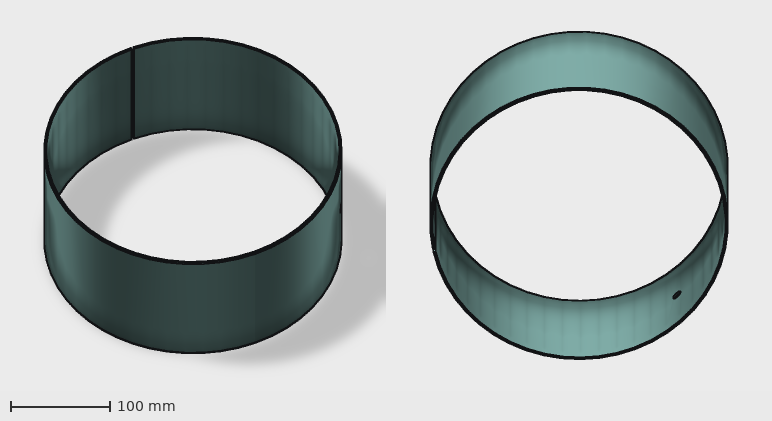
import cadquery as cq

outer_diameter = 300.0
height = 140.0
wall = 2.5
chamfer_height = 1.8
chamfer_depth = 0.5
bore_chamfer = 0.5
slit_width = 2.7
hole_diameter = 10.0
hole_angle = 59.0

outer_radius = outer_diameter / 2
inner_radius = outer_radius - wall
mid_radius = outer_radius - wall / 2
cutter_depth = 4 * wall


def make_ring():
    """Revolved wall section with bevelled rims."""
    top = height / 2
    shoulder = top - chamfer_height
    rim_radius = outer_radius - chamfer_depth
    bore_shoulder = top - bore_chamfer
    bore_rim_radius = inner_radius + bore_chamfer
    section = [
        (inner_radius, -bore_shoulder),
        (bore_rim_radius, -top),
        (rim_radius, -top),
        (outer_radius, -shoulder),
        (outer_radius, shoulder),
        (rim_radius, top),
        (bore_rim_radius, top),
        (inner_radius, bore_shoulder),
    ]
    return cq.Workplane("XZ").polyline(section).close().revolve(360, (0, 0), (0, 1))


def make_slit():
    """Full-height slot through the -X wall."""
    slot = cq.Workplane("XY").box(cutter_depth, slit_width, height)
    return slot.translate((-mid_radius, slit_width / 2, 0))


def make_hole():
    """Radial pin through the wall at mid-height."""
    pin = cq.Workplane("YZ").circle(hole_diameter / 2).extrude(cutter_depth / 2, both=True)
    return pin.translate((mid_radius, 0, 0)).rotate((0, 0, 0), (0, 0, 1), hole_angle)


result = make_ring().cut(make_slit()).cut(make_hole())